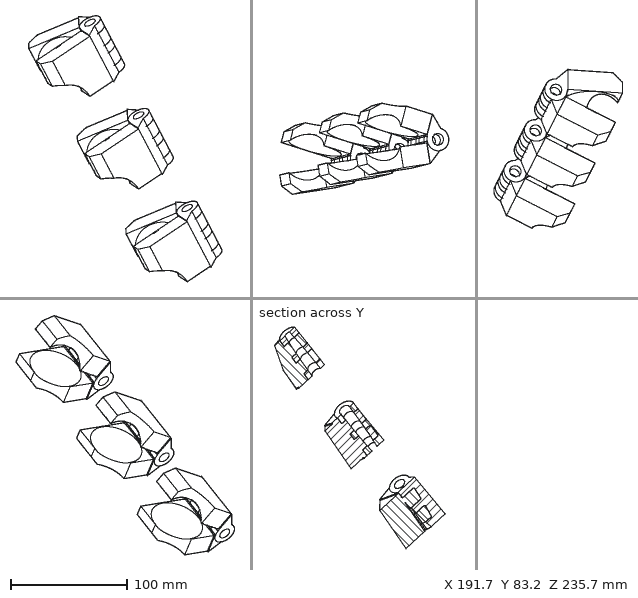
import cadquery as cq

CLAMP_COUNT = 3
CLAMP_PITCH = 100.0

ROLL = 31.4
TILT = 15.3
HEADING = -107.7
OPENING_ANGLE = 25

HINGE_LENGTH = 50.2
HINGE_BOTTOM = -HINGE_LENGTH / 2
KNUCKLE_RADIUS = 10.0
PIN_HOLE_DIAMETER = 10.0
RIGHT_KNUCKLE_LENGTH = 8.0
RIGHT_KNUCKLE_COUNT = 3
LEFT_KNUCKLE_COUNT = RIGHT_KNUCKLE_COUNT - 1
LEFT_KNUCKLE_LENGTH = (HINGE_LENGTH - RIGHT_KNUCKLE_COUNT * RIGHT_KNUCKLE_LENGTH) / LEFT_KNUCKLE_COUNT

BLOCK_START = 10.4
BLOCK_LENGTH = 47.9
BLOCK_THICKNESS = 18.2
BLOCK_HEIGHT = 48.0
FACE_OFFSET = 1.5
TIP_CHAMFER = 8.5
BLOCK_END = BLOCK_START + BLOCK_LENGTH
BACK = FACE_OFFSET + BLOCK_THICKNESS

SEAT_RADIUS = 30.0
SEAT_CENTER_X = 35.0
SEAT_CENTER_Y = -17.5

NOTCH_RADIUS = 25.0
NOTCH_CENTER_X = 59.9


def hinge_cylinder(radius, bottom, length):
    return cq.Workplane("XY").workplane(offset=bottom).circle(radius).extrude(length)


def knuckle_zones(first_bottom, length, count):
    """Full cylinders of one jaw's knuckles, from the lowest up."""
    spacing = RIGHT_KNUCKLE_LENGTH + LEFT_KNUCKLE_LENGTH
    return [hinge_cylinder(KNUCKLE_RADIUS, first_bottom + i * spacing, length) for i in range(count)]


def jaw_block():
    outline = [
        (BLOCK_START, FACE_OFFSET),
        (BLOCK_END, FACE_OFFSET),
        (BLOCK_END, BACK - TIP_CHAMFER),
        (BLOCK_END - TIP_CHAMFER, BACK),
        (BLOCK_START, BACK),
    ]
    block = cq.Workplane("XY").polyline(outline).close().extrude(BLOCK_HEIGHT / 2, both=True)
    seat = cq.Workplane("XY").sphere(SEAT_RADIUS).translate((SEAT_CENTER_X, SEAT_CENTER_Y, 0))
    notch = (
        cq.Workplane("XZ")
        .center(NOTCH_CENTER_X, HINGE_BOTTOM)
        .circle(NOTCH_RADIUS)
        .extrude(-BACK)
    )
    return block.cut(seat).cut(notch)


def hinge_ear():
    """Web between the knuckles and the block; its sloping back starts on the knuckle rim."""
    outline = [(0, 0), (BLOCK_START, 0), (BLOCK_START, BACK), (0, KNUCKLE_RADIUS)]
    return cq.Workplane("XY").polyline(outline).close().extrude(HINGE_LENGTH / 2, both=True)


def jaw(own_knuckles, other_knuckles):
    body = jaw_block().union(hinge_ear())
    for knuckle in own_knuckles:
        body = body.union(knuckle)
    for knuckle in other_knuckles:
        body = body.cut(knuckle)
    return body.cut(hinge_cylinder(PIN_HOLE_DIAMETER / 2, HINGE_BOTTOM, HINGE_LENGTH))


def swing(body, angle):
    return body.rotate((0, 0, 0), (0, 0, 1), angle)


def place(body, index):
    """Move a body along the hinge axis to its clamp and turn the hinge frame to its attitude."""
    body = body.translate((0, 0, -index * CLAMP_PITCH))
    body = body.rotate((0, 0, 0), (1, 0, 0), ROLL)
    body = body.rotate((0, 0, 0), (0, 1, 0), TILT)
    return body.rotate((0, 0, 0), (0, 0, 1), HEADING)


right_zones = knuckle_zones(HINGE_BOTTOM, RIGHT_KNUCKLE_LENGTH, RIGHT_KNUCKLE_COUNT)
left_zones = knuckle_zones(
    HINGE_BOTTOM + RIGHT_KNUCKLE_LENGTH, LEFT_KNUCKLE_LENGTH, LEFT_KNUCKLE_COUNT
)
right_jaw = swing(jaw(right_zones, left_zones), OPENING_ANGLE / 2)
left_jaw = swing(jaw(left_zones, right_zones).mirror("XZ"), -OPENING_ANGLE / 2)

right_jaws = [place(right_jaw, i).solids().val() for i in range(CLAMP_COUNT)]
left_jaws = [place(left_jaw, i).solids().val() for i in range(CLAMP_COUNT)]
result = cq.Compound.makeCompound([*right_jaws, *left_jaws])